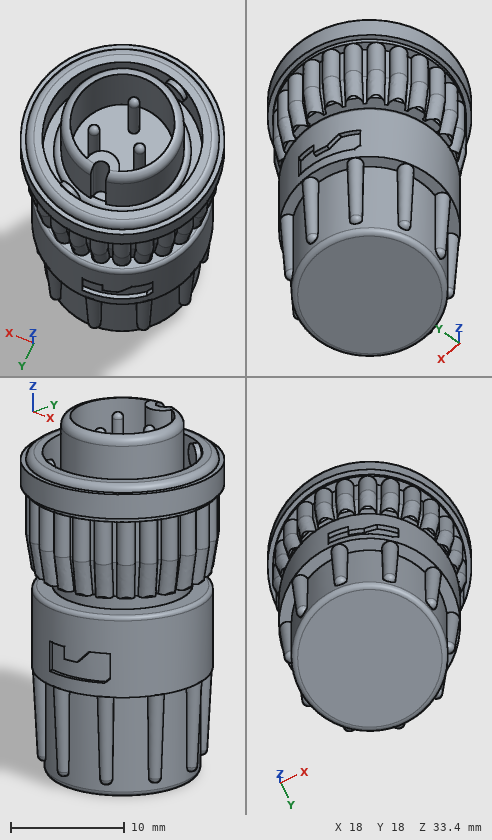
import cadquery as cq
import math

total_height = 33.4
ring_top = 30.03
flange_top = 29.33
flange_bottom = 27.02
contact_face = 26.05
knurl_top = 26.55
knurl_taper_start = 22.48
ring_bottom = 19.07
body_top = 17.47
body_bottom = 9.82

flange_radius = 9.02
ring_radius = 8.55
ring_end_radius = 8.0
ring_bore_radius = 7.08
plug_radius = 5.45
plug_bore_radius = 4.6
neck_radius = 6.2
body_radius = 8.0
grip_radius = 6.9

plug_round = 0.85
ring_top_round = ring_top - flange_top
ring_bottom_chamfer = 0.17
body_round = 0.4
grip_round = 0.55

seal_inner_radius = 5.05
seal_outer_radius = 6.08
seal_height = 26.52

key_center_y = 4.6
key_rib_radius = 1.57
key_slot_center_y = 4.78
key_slot_radius = 0.75

pin_count = 3
pin_first_angle = 30.0
pin_circle_radius = 2.55
pin_radius = 0.5
pin_ball_height = 32.33

peg_count = 2
peg_angle = 69.0
peg_radius = 1.15
peg_height = 28.85
peg_inner_radius = 6.5
peg_outer_radius = 7.5

knurl_count = 24
knurl_angle = -82.0
knurl_rib_radius = 0.8

recess_count = 2
recess_angle = -70.0
recess_depth = 0.4
recess_half_width = 3.1
recess_bottom = 11.12
recess_step = 12.75
recess_top = 13.93
recess_notch_start = -1.3
recess_notch_end = 0.1
recess_corner = 0.5

grip_rib_count = 10
grip_rib_angle = -87.2
grip_rib_top = body_bottom + 0.17
grip_rib_end = 1.77
grip_rib_top_radius = 0.75
grip_rib_end_radius = 0.57
grip_rib_top_offset = 7.25
grip_rib_end_offset = 6.98


def polar(radius, angle, z):
    """Point at a distance and an angle in degrees around the connector axis."""
    turn = math.radians(angle)
    return cq.Vector(radius * math.cos(turn), radius * math.sin(turn), z)


def disc(radius, bottom, top):
    """Cylinder on the connector axis between two heights."""
    return cq.Workplane("XY").workplane(offset=bottom).circle(radius).extrude(top - bottom)


def step_angles(first, count):
    """Angles of features spread evenly around the axis."""
    return [first + 360.0 * i / count for i in range(count)]


def make_plug():
    plug = disc(plug_radius, ring_bottom, total_height).faces(">Z").edges().fillet(plug_round)
    bore = disc(plug_bore_radius, contact_face, total_height)
    key_rib = (
        cq.Workplane("XY").workplane(offset=contact_face).center(0, key_center_y)
        .circle(key_rib_radius).extrude(total_height - contact_face)
        .intersect(bore)
    )
    return plug.cut(bore).union(key_rib)


def make_key_slot():
    height = total_height - contact_face
    plane = cq.Workplane("XY").workplane(offset=contact_face)
    length = plug_radius - key_slot_center_y
    rounded_end = plane.center(0, key_slot_center_y).circle(key_slot_radius).extrude(height)
    opening = (
        plane.center(0, key_slot_center_y + length / 2)
        .rect(2 * key_slot_radius, length).extrude(height)
    )
    return rounded_end.union(opening)


def make_seal():
    """Round ring sunk a little way into the floor."""
    middle_radius = (seal_inner_radius + seal_outer_radius) / 2
    tube_radius = (seal_outer_radius - seal_inner_radius) / 2
    middle = cq.Vector(0, 0, seal_height)
    return cq.Solid.makeTorus(middle_radius, tube_radius, middle, cq.Vector(0, 0, 1))


def make_pins():
    """Cylinders with ball ends standing on the contact face."""
    pins = cq.Workplane("XY")
    for angle in step_angles(pin_first_angle, pin_count):
        foot = polar(pin_circle_radius, angle, contact_face)
        tip = polar(pin_circle_radius, angle, pin_ball_height)
        shaft = cq.Solid.makeCylinder(pin_radius, pin_ball_height - contact_face, foot)
        ball = cq.Workplane("XY").sphere(pin_radius).translate(tip)
        pins = pins.union(cq.Workplane(shaft)).union(ball)
    return pins


def make_knurl():
    """Round ribs that run straight down, then lean inward with the taper."""
    floor_radius = ring_radius - knurl_rib_radius
    lean = ring_radius - ring_end_radius
    straight = knurl_top - knurl_taper_start
    taper = knurl_taper_start - ring_bottom
    floor = disc(floor_radius, knurl_taper_start, knurl_top).union(
        cq.Workplane(cq.Solid.makeCone(
            floor_radius - lean, floor_radius, taper, cq.Vector(0, 0, ring_bottom)))
    )
    ribs = []
    for angle in step_angles(knurl_angle, knurl_count):
        middle = polar(floor_radius, angle, knurl_taper_start)
        outline = cq.Wire.makeCircle(knurl_rib_radius, middle, cq.Vector(0, 0, 1))
        ribs.append(cq.Solid.extrudeLinear(outline, [], cq.Vector(0, 0, straight)))
        ribs.append(cq.Solid.extrudeLinear(outline, [], polar(-lean, angle, -taper)))
    knurl = cq.Workplane(floor.val().fuse(*ribs))
    height = knurl_top - ring_bottom
    small_radius = ring_end_radius - ring_bottom_chamfer
    bottom_cone = cq.Solid.makeCone(
        small_radius, small_radius + height, height, cq.Vector(0, 0, ring_bottom))
    return knurl.intersect(cq.Workplane(bottom_cone))


def make_ring():
    collar = disc(ring_radius, knurl_top, ring_top).faces(">Z").edges().fillet(ring_top_round)
    flange = disc(flange_radius, flange_bottom, flange_top)
    bore = disc(ring_bore_radius, contact_face, ring_top)
    ring = make_knurl().union(collar).union(flange).cut(bore)
    for angle in step_angles(peg_angle, peg_count):
        start = polar(peg_inner_radius, angle, peg_height)
        length = peg_outer_radius - peg_inner_radius
        peg = cq.Solid.makeCylinder(peg_radius, length, start, polar(1, angle, 0))
        ring = ring.union(cq.Workplane(peg))
    return ring


def make_recess(angle):
    """L-shaped cutter that leaves a round floor below the body surface."""
    side = polar(1, angle + 90, 0)
    slope_end = recess_notch_end + recess_top - recess_step
    plane = cq.Plane(origin=(0, 0, 0), xDir=side, normal=polar(1, angle, 0))
    prism = (
        cq.Workplane(plane)
        .polyline([
            (-recess_half_width, recess_bottom),
            (recess_half_width - recess_corner, recess_bottom),
            (recess_half_width, recess_bottom + recess_corner),
            (recess_half_width, recess_top),
            (slope_end, recess_top),
            (recess_notch_end, recess_step),
            (recess_notch_start, recess_step),
            (recess_notch_start, recess_top),
            (-recess_half_width, recess_top),
        ])
        .close().extrude(2 * body_radius)
    )
    return prism.cut(disc(body_radius - recess_depth, body_bottom, body_top))


def make_body():
    body = disc(body_radius, body_bottom, body_top).faces(">Z").edges().fillet(body_round)
    for angle in step_angles(recess_angle, recess_count):
        body = body.cut(make_recess(angle))
    return body


def make_grip():
    grip = disc(grip_radius, 0, body_bottom).faces("<Z").edges().fillet(grip_round)
    ribs = []
    for angle in step_angles(grip_rib_angle, grip_rib_count):
        top = polar(grip_rib_top_offset, angle, grip_rib_top)
        end = polar(grip_rib_end_offset, angle, grip_rib_end)
        axis = top - end
        ribs.append(cq.Solid.makeCone(
            grip_rib_end_radius, grip_rib_top_radius, axis.Length, end, axis))
        ribs.append(cq.Workplane("XY").sphere(grip_rib_end_radius).translate(end).val())
    return cq.Workplane(grip.val().fuse(*ribs))


neck = disc(neck_radius, body_bottom, contact_face)
plug = make_plug().cut(make_key_slot())

result = (
    make_ring()
    .union(neck)
    .union(plug)
    .union(cq.Workplane(make_seal()))
    .union(make_pins())
    .union(make_body())
    .union(make_grip())
    .solids()
)